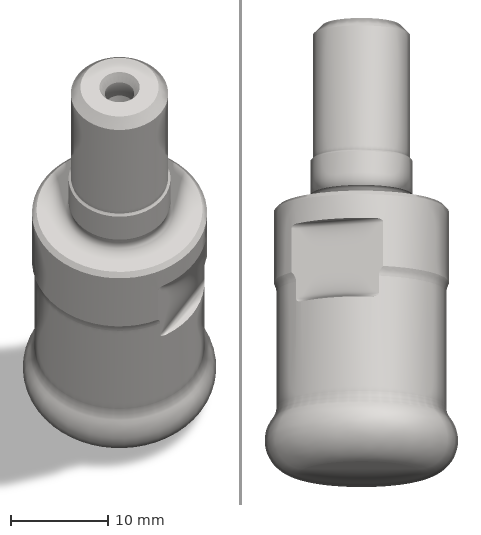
import cadquery as cq
import math

total_height = 47.0

head_radius = 18.0 / 2
barrel_radius = 17.5 / 2
foot_radius = 19.9 / 2
foot_round = 3.5
foot_blend = 2.0
face_height = 27.95
face_chamfer = 0.45
head_bottom = 20.0
head_blend = 2.0

flat_distance = 15.0
flat_bottom = 16.83
flat_top = 25.0
flat_corner = 0.38

shank_radius = 11.6 / 2
shank_depth = 9.4
shaft_radius = 10.0 / 2
shaft_chamfer = 1.0
collar_radius = 10.5 / 2
collar_bottom = 29.25
collar_top = 33.05
neck_fillet = 0.5
collar_step = collar_radius - shaft_radius

hole_radius = 3.0 / 2
hole_mouth_radius = 2.05
hole_depth = 3.0
countersink_depth = (hole_mouth_radius - hole_radius) / math.tan(math.radians(30))
drill_point_depth = hole_radius / math.tan(math.radians(59))

shank_bottom = face_height - shank_depth


def arc_point(center, radius, degrees):
    """Point on a circle in the profile plane, given as (radius from axis, height)."""
    angle = math.radians(degrees)
    return (center[0] + radius * math.cos(angle), center[1] + radius * math.sin(angle))


def revolve_profile(profile):
    """Turn a closed (radius, height) profile about the Z axis."""
    return profile.close().revolve(360, (0, 0, 0), (0, 1, 0))


def make_housing_blank():
    foot_center = (foot_radius - foot_round, foot_round)
    center_offset = barrel_radius + foot_blend - foot_center[0]
    center_rise = math.sqrt((foot_round + foot_blend) ** 2 - center_offset**2)
    blend_center = (barrel_radius + foot_blend, foot_center[1] + center_rise)
    contact_angle = math.degrees(math.atan2(center_rise, center_offset))

    head_step = head_radius - barrel_radius
    head_blend_height = math.sqrt(head_blend**2 - (head_blend - head_step) ** 2)
    head_blend_center = (barrel_radius + head_blend, head_bottom - head_blend_height)
    head_blend_angle = math.degrees(math.asin(head_blend_height / head_blend))

    profile = (
        cq.Workplane("XZ")
        .lineTo(foot_center[0], 0)
        .threePointArc(
            arc_point(foot_center, foot_round, 0),
            arc_point(foot_center, foot_round, contact_angle),
        )
        .threePointArc(
            arc_point(blend_center, foot_blend, 180 + contact_angle / 2),
            (barrel_radius, blend_center[1]),
        )
        .lineTo(barrel_radius, head_blend_center[1])
        .threePointArc(
            arc_point(head_blend_center, head_blend, 180 - head_blend_angle / 2),
            (head_radius, head_bottom),
        )
        .lineTo(head_radius, face_height - face_chamfer)
        .lineTo(head_radius - face_chamfer, face_height)
        .lineTo(0, face_height)
    )
    return revolve_profile(profile)


def make_flat_cutter(side):
    """Block that cuts one wrench flat; side is -1 or +1 along X."""
    cut_depth = foot_radius - flat_distance / 2
    inner_face = "<X" if side > 0 else ">X"
    return (
        cq.Workplane("XY")
        .box(cut_depth, 2 * foot_radius, flat_top - flat_bottom)
        .faces(inner_face)
        .edges("|Y")
        .fillet(flat_corner)
        .translate((side * (flat_distance + cut_depth) / 2, 0, (flat_bottom + flat_top) / 2))
    )


def make_housing():
    housing = make_housing_blank()
    for side in (-1, 1):
        housing = housing.cut(make_flat_cutter(side))
    bore = cq.Workplane("XY").workplane(offset=shank_bottom).circle(shank_radius).extrude(shank_depth)
    return housing.cut(bore)


def make_stud_blank():
    neck_center = (shaft_radius + neck_fillet, face_height + neck_fillet)
    collar_center = (collar_radius, collar_bottom - collar_step)
    profile = (
        cq.Workplane("XZ")
        .moveTo(0, shank_bottom)
        .lineTo(shank_radius, shank_bottom)
        .lineTo(shank_radius, face_height)
        .lineTo(neck_center[0], face_height)
        .threePointArc(
            arc_point(neck_center, neck_fillet, 225),
            (shaft_radius, neck_center[1]),
        )
        .lineTo(shaft_radius, collar_center[1])
        .threePointArc(
            arc_point(collar_center, collar_step, 135),
            (collar_radius, collar_bottom),
        )
        .lineTo(collar_radius, collar_top - collar_step)
        .lineTo(shaft_radius, collar_top)
        .lineTo(shaft_radius, total_height - shaft_chamfer)
        .lineTo(shaft_radius - shaft_chamfer, total_height)
        .lineTo(0, total_height)
    )
    return revolve_profile(profile)


def make_center_hole():
    """Countersunk hole with a conical drill point."""
    hole_bottom = total_height - hole_depth
    profile = (
        cq.Workplane("XZ")
        .moveTo(0, total_height)
        .lineTo(hole_mouth_radius, total_height)
        .lineTo(hole_radius, total_height - countersink_depth)
        .lineTo(hole_radius, hole_bottom)
        .lineTo(0, hole_bottom - drill_point_depth)
    )
    return revolve_profile(profile)


def make_stud():
    return make_stud_blank().cut(make_center_hole())


housing = make_housing()
stud = make_stud()

result = cq.Compound.makeCompound([housing.val(), stud.val()])